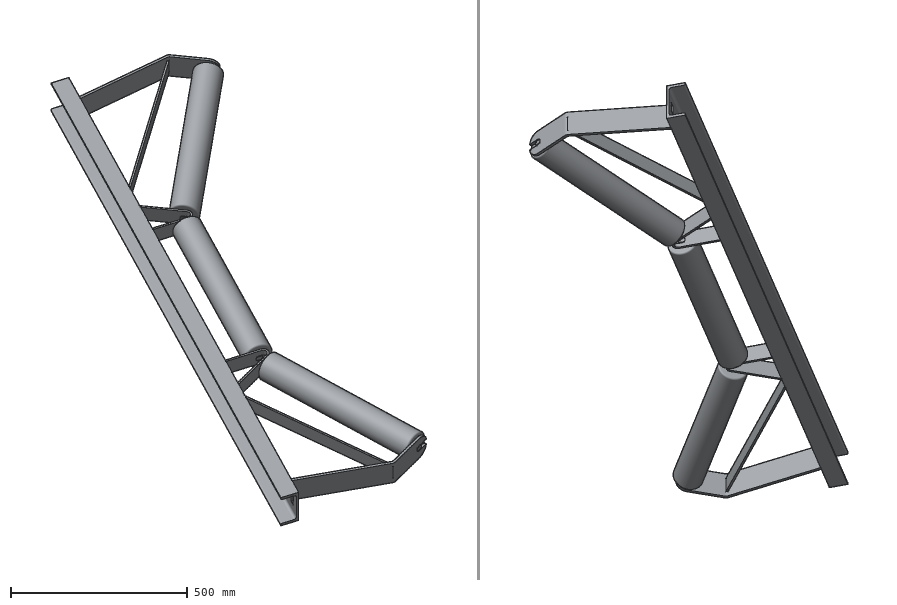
import cadquery as cq
import math

BEAM_LENGTH = 1700.0
BEAM_HEIGHT = 120.0
BEAM_DEPTH = 55.0
WEB_THICKNESS = 7.0
FLANGE_THICKNESS = 9.4
ROOT_RADIUS = 8.0
TOE_RADIUS = 4.5
MOUNT_SLOT_WIDTH = 15.0
MOUNT_SLOT_HEIGHT = 30.0
MOUNT_SLOT_X = 820.0

ROLLER_DIAMETER = 88.0
ROLLER_LENGTH = 530.0
ROLLER_EDGE_RADIUS = 5.0
SHAFT_DIAMETER = 20.0
SHAFT_FLATS = 14.0
TROUGH_ANGLE = 30.0
CENTER_ROLLER_Y = 173.0
CENTER_ROLLER_DROP = 20.0

OUTER_HEIGHT = 83.0
OUTER_THICKNESS = 8.0
OUTER_FOOT_X = 782.0
OUTER_BEND_X = 833.0
OUTER_BEND_Y = 354.0
OUTER_BEND_RADIUS = 12.0
OUTER_ARM_LENGTH = 148.0
OUTER_SEAT_DISTANCE = 115.0
OUTER_CORNER_RADIUS = 34.0
INNER_TOP_Z = 10.0
INNER_BOTTOM_Z = -45.0
INNER_HEIGHT = INNER_TOP_Z - INNER_BOTTOM_Z
INNER_MIDDLE_Z = (INNER_TOP_Z + INNER_BOTTOM_Z) / 2
INNER_THICKNESS = 6.0
INNER_FOOT_X = 372.0
INNER_LEG_X = 270.0
INNER_BEND_RADIUS = 13.3

SLOT_REACH = 51.0
SLOT_CUT_LENGTH = 25.0

BRACE_THICKNESS = 6.0
BRACE_HEIGHT = 50.0
BRACE_FOOT_X = 413.0

FOOT_OVERRUN = 17.0

SIN_TROUGH = math.sin(math.radians(TROUGH_ANGLE))
COS_TROUGH = math.cos(math.radians(TROUGH_ANGLE))
SIDES = (-1, 1)

SEAT_X = OUTER_BEND_X - OUTER_SEAT_DISTANCE * SIN_TROUGH
SEAT_Y = OUTER_BEND_Y + OUTER_SEAT_DISTANCE * COS_TROUGH
SIDE_SPAN = (SEAT_X - INNER_FOOT_X) * COS_TROUGH + (SEAT_Y - BEAM_DEPTH) * SIN_TROUGH
SIDE_TILT = math.asin(CENTER_ROLLER_DROP / SIDE_SPAN)
SIDE_SHAFT_LENGTH = SIDE_SPAN + (OUTER_THICKNESS + INNER_THICKNESS) / 2
CENTER_SHAFT_LENGTH = 2 * INNER_LEG_X + INNER_THICKNESS


def make_beam():
    web_face = BEAM_DEPTH - WEB_THICKNESS
    inner_z = BEAM_HEIGHT / 2 - FLANGE_THICKNESS
    outer = cq.Workplane("XY").box(BEAM_LENGTH, BEAM_DEPTH, BEAM_HEIGHT).translate((0, BEAM_DEPTH / 2, 0))
    hollow = (
        cq.Workplane("XY")
        .box(BEAM_LENGTH, web_face, 2 * inner_z)
        .translate((0, web_face / 2, 0))
        .edges("|X and >Y")
        .fillet(ROOT_RADIUS)
    )
    beam = outer.cut(hollow)
    toe_edges = cq.selectors.BoxSelector(
        (-BEAM_LENGTH, -TOE_RADIUS, -inner_z - TOE_RADIUS),
        (BEAM_LENGTH, TOE_RADIUS, inner_z + TOE_RADIUS),
    )
    beam = beam.edges("|X").edges(toe_edges).fillet(TOE_RADIUS)
    mount_slots = (
        cq.Workplane("XZ")
        .pushPoints([(side * MOUNT_SLOT_X, 0) for side in SIDES])
        .rect(MOUNT_SLOT_WIDTH, MOUNT_SLOT_HEIGHT)
        .extrude(-BEAM_DEPTH)
    )
    return beam.cut(mount_slots)


def center_roller_plane():
    return cq.Plane(origin=(0, CENTER_ROLLER_Y, -CENTER_ROLLER_DROP), xDir=(0, 1, 0), normal=(1, 0, 0))


def side_roller_plane(side):
    """Plane at the middle of a side roller: normal along its axis, local X towards the slot mouths."""
    level = math.cos(SIDE_TILT)
    axis = cq.Vector(-side * level * COS_TROUGH, -level * SIN_TROUGH, -math.sin(SIDE_TILT))
    half_span = SIDE_SPAN / math.cos(SIDE_TILT) / 2
    middle = cq.Vector(side * SEAT_X, SEAT_Y, 0) + axis * half_span
    return cq.Plane(origin=middle, xDir=(-side * SIN_TROUGH, COS_TROUGH, 0), normal=axis)


def make_roller(plane, shaft_length):
    """Drum on a shaft with two flats, centred on the plane with its axis along the normal."""
    drum = (
        cq.Workplane(plane)
        .workplane(offset=-ROLLER_LENGTH / 2)
        .circle(ROLLER_DIAMETER / 2)
        .extrude(ROLLER_LENGTH)
        .edges("%CIRCLE")
        .fillet(ROLLER_EDGE_RADIUS)
    )
    shaft_start = cq.Workplane(plane).workplane(offset=-shaft_length / 2)
    flats = shaft_start.rect(SHAFT_DIAMETER, SHAFT_FLATS).extrude(shaft_length)
    shaft = shaft_start.circle(SHAFT_DIAMETER / 2).extrude(shaft_length).intersect(flats)
    return drum.union(shaft)


def shaft_slot(plane, end):
    """Open slot cutter round one end of a shaft (end is -1 or 1 along the plane's normal)."""
    seat = cq.Workplane(plane).workplane(offset=end * ROLLER_LENGTH / 2)
    bottom = seat.circle(SHAFT_DIAMETER / 2).extrude(end * SLOT_CUT_LENGTH)
    mouth = seat.center(SLOT_REACH / 2, 0).rect(SLOT_REACH, SHAFT_DIAMETER).extrude(end * SLOT_CUT_LENGTH)
    return bottom.union(mouth)


def strip_along(path, start, direction, thickness, height):
    """Upright strip centred on a path that leaves start in the given direction."""
    profile_plane = cq.Plane(origin=start, xDir=(0, 0, 1), normal=direction)
    return cq.Workplane(profile_plane).rect(height, thickness).sweep(path)


def bent_strip(start, bend, end, radius, thickness, height):
    """Upright strip of two straight legs joined by a bend of the given centre-line radius."""
    start, bend, end = cq.Vector(*start), cq.Vector(*bend), cq.Vector(*end)
    first = (bend - start).normalized()
    second = (end - bend).normalized()
    setback = radius * math.tan(first.getAngle(second) / 2)
    arc_start = bend - first * setback
    arc_end = bend + second * setback
    path = (
        cq.Workplane("XY")
        .moveTo(start.x, start.y)
        .lineTo(arc_start.x, arc_start.y)
        .tangentArcPoint((arc_end.x, arc_end.y), relative=False)
        .lineTo(end.x, end.y)
    )
    return strip_along(path, start, first, thickness, height)


def below_foot(foot, bend):
    """Extend the line from bend to foot by the overrun, into the beam."""
    ratio = FOOT_OVERRUN / (bend[1] - foot[1])
    return (foot[0] + (foot[0] - bend[0]) * ratio, foot[1] - FOOT_OVERRUN)


def trim_to_beam(strip):
    """Cut away the part of a strip that reaches into the beam, so it butts on the back face."""
    beam_space = cq.Workplane("XY").box(BEAM_LENGTH, 2 * BEAM_DEPTH, BEAM_HEIGHT)
    return strip.cut(beam_space)


def make_brace(side):
    bend = (side * OUTER_BEND_X, OUTER_BEND_Y)
    foot = below_foot((side * BRACE_FOOT_X, BEAM_DEPTH), bend)
    path = cq.Workplane("XY").moveTo(*bend).lineTo(*foot)
    direction = cq.Vector(*foot) - cq.Vector(*bend)
    return trim_to_beam(strip_along(path, bend, direction, BRACE_THICKNESS, BRACE_HEIGHT))


def make_outer_bracket(side):
    bend = (side * OUTER_BEND_X, OUTER_BEND_Y)
    foot = (side * OUTER_FOOT_X, BEAM_DEPTH)
    tip = (
        bend[0] - side * OUTER_ARM_LENGTH * SIN_TROUGH,
        bend[1] + OUTER_ARM_LENGTH * COS_TROUGH,
    )
    start = below_foot(foot, bend)
    bracket = bent_strip(start, bend, tip, OUTER_BEND_RADIUS, OUTER_THICKNESS, OUTER_HEIGHT)
    arm_direction = cq.Vector(-side * SIN_TROUGH, COS_TROUGH, 0)
    bracket = (
        bracket.faces(cq.selectors.DirectionMinMaxSelector(arm_direction))
        .edges("not |Z")
        .fillet(OUTER_CORNER_RADIUS)
    )
    slot = shaft_slot(side_roller_plane(side), -1)
    return trim_to_beam(bracket).cut(slot).cut(make_brace(side))


def make_inner_bracket(side):
    bend_y = BEAM_DEPTH + (INNER_FOOT_X - INNER_LEG_X) / math.tan(math.radians(TROUGH_ANGLE))
    bend = (side * INNER_LEG_X, bend_y)
    sloping_foot = below_foot((side * INNER_FOOT_X, BEAM_DEPTH), bend)
    upright_foot = below_foot((side * INNER_LEG_X, BEAM_DEPTH), bend)
    bracket = bent_strip(
        sloping_foot, bend, upright_foot, INNER_BEND_RADIUS, INNER_THICKNESS, INNER_HEIGHT
    ).translate((0, 0, INNER_MIDDLE_Z))
    side_slot = shaft_slot(side_roller_plane(side), 1)
    center_slot = shaft_slot(center_roller_plane(), side)
    return trim_to_beam(bracket).cut(side_slot).cut(center_slot)


beam = make_beam()
center_roller = make_roller(center_roller_plane(), CENTER_SHAFT_LENGTH)
side_rollers = [make_roller(side_roller_plane(side), SIDE_SHAFT_LENGTH) for side in SIDES]
outer_brackets = [make_outer_bracket(side) for side in SIDES]
inner_brackets = [make_inner_bracket(side) for side in SIDES]
braces = [make_brace(side) for side in SIDES]

bodies = [beam, center_roller, *side_rollers, *outer_brackets, *inner_brackets, *braces]
result = cq.Compound.makeCompound([body.solids().val() for body in bodies])